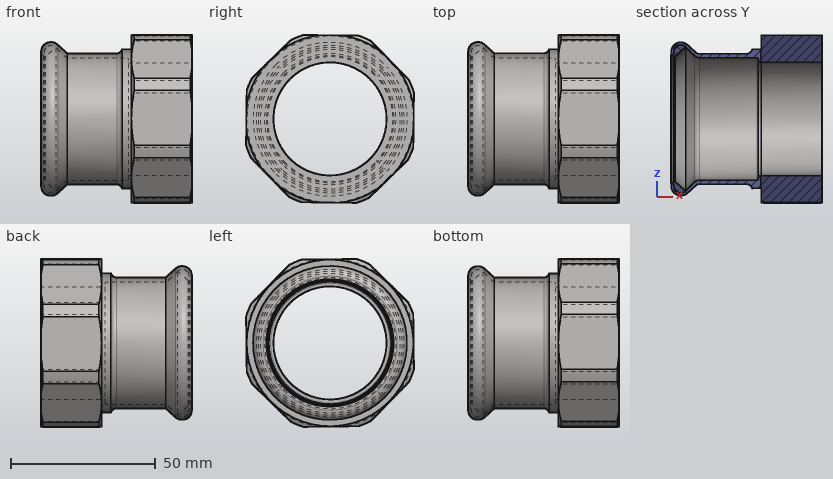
import cadquery as cq
import math


bead_cone_end = 9.1
run_out_start = 26.2
collar_start = 28.0
octagon_start = 31.15
overall_length = 52.2

socket_bore_radius = 42.3 / 2
socket_outer_radius = 45.4 / 2
mouth_radius = 22.05
mouth_length = 0.8
bead_radius = 3.45
bead_center_radius = 23.2
bead_wall = 1.1
cavity_radius = bead_radius - bead_wall
bore_blend_end = 9.8

seal_lip_radius = 43.3 / 2
seal_lip_start = 1.1
seal_lip_end = 1.45

through_bore_radius = 39.0 / 2
collar_radius = 24.15
stop_fillet = 0.45
stop_face = 30.1
octagon_apothem = 28.95
octagon_corner_radius = 30.45
octagon_turn = -0.7
octagon_sides = 8
left_face_radius = 28.8
left_chamfer_depth = 1.05
right_face_radius = 29.2
right_chamfer_depth = 0.7

diagonal = math.sqrt(0.5)


def revolve_about_x(profile):
    """Revolve a closed (x, radius) profile about the X axis."""
    return profile.close().revolve(360, (0, 0, 0), (1, 0, 0))


def bead_point(radius, axial, radial):
    """Point on a circle about the bead centre, in a given direction."""
    return (bead_radius + radius * axial, bead_center_radius + radius * radial)


cavity_start = bead_point(cavity_radius, -1, 0)
cavity_crown = bead_point(cavity_radius, 0, 1)
cavity_cone_top = bead_point(cavity_radius, diagonal, diagonal)

cone_sum = sum(cavity_cone_top)
bore_blend_radius = (bore_blend_end + socket_bore_radius - cone_sum) / (2 * diagonal - 1)
bore_start = (bore_blend_end, socket_bore_radius)
blend_start = (
    bore_blend_end - bore_blend_radius * diagonal,
    socket_bore_radius + bore_blend_radius * (1 - diagonal),
)
blend_half_angle = math.pi / 8
blend_middle = (
    bore_blend_end - bore_blend_radius * math.sin(blend_half_angle),
    socket_bore_radius + bore_blend_radius * (1 - math.cos(blend_half_angle)),
)


def make_socket():
    """Tube with a hollow bead at its mouth, and a collar and pipe stop at its far end."""
    run_out_length = collar_start - run_out_start
    run_out_rise = collar_radius - socket_outer_radius
    run_out_radius = (run_out_length**2 + run_out_rise**2) / (2 * run_out_rise)
    half_angle = math.asin(run_out_length / run_out_radius) / 2
    run_out_middle = (
        run_out_start + run_out_radius * math.sin(half_angle),
        socket_outer_radius + run_out_radius * (1 - math.cos(half_angle)),
    )
    fillet_start = stop_face - stop_fillet
    fillet_middle = (
        fillet_start + stop_fillet * diagonal,
        socket_bore_radius - stop_fillet * (1 - diagonal),
    )
    profile = (
        cq.Workplane("XY")
        .moveTo(0, mouth_radius)
        .lineTo(0, bead_center_radius)
        .threePointArc(bead_point(bead_radius, 0, 1), bead_point(bead_radius, diagonal, diagonal))
        .lineTo(bead_cone_end, socket_outer_radius)
        .lineTo(run_out_start, socket_outer_radius)
        .threePointArc(run_out_middle, (collar_start, collar_radius))
        .lineTo(octagon_start, collar_radius)
        .lineTo(octagon_start, through_bore_radius)
        .lineTo(stop_face, through_bore_radius)
        .lineTo(stop_face, socket_bore_radius - stop_fillet)
        .threePointArc(fillet_middle, (fillet_start, socket_bore_radius))
        .lineTo(*bore_start)
        .threePointArc(blend_middle, blend_start)
        .lineTo(*cavity_cone_top)
        .threePointArc(cavity_crown, cavity_start)
        .lineTo(mouth_length, mouth_radius)
    )
    return revolve_about_x(profile)


def make_seal():
    """Ring that fills the bead cavity, with a small lip facing the mouth."""
    profile = (
        cq.Workplane("XY")
        .moveTo(mouth_length, mouth_radius)
        .lineTo(*cavity_start)
        .threePointArc(cavity_crown, cavity_cone_top)
        .lineTo(seal_lip_end, seal_lip_radius)
        .lineTo(seal_lip_start, seal_lip_radius)
    )
    return revolve_about_x(profile)


def make_octagon():
    """Octagonal prism whose corners and end faces are turned down."""
    across_corners = 2 * octagon_apothem / math.cos(math.pi / octagon_sides)
    prism = (
        cq.Workplane("YZ", origin=(octagon_start, 0, 0))
        .polygon(octagon_sides, across_corners)
        .extrude(overall_length - octagon_start)
        .rotate((0, 0, 0), (1, 0, 0), 180 / octagon_sides + octagon_turn)
    )
    turned_envelope = revolve_about_x(
        cq.Workplane("XY")
        .moveTo(octagon_start, through_bore_radius)
        .lineTo(octagon_start, left_face_radius)
        .lineTo(octagon_start + left_chamfer_depth, octagon_corner_radius)
        .lineTo(overall_length - right_chamfer_depth, octagon_corner_radius)
        .lineTo(overall_length, right_face_radius)
        .lineTo(overall_length, through_bore_radius)
    )
    return prism.intersect(turned_envelope)


socket = make_socket()
seal = make_seal()
octagonal_end = make_octagon()

result = cq.Compound.makeCompound([socket.val(), seal.val(), octagonal_end.val()])